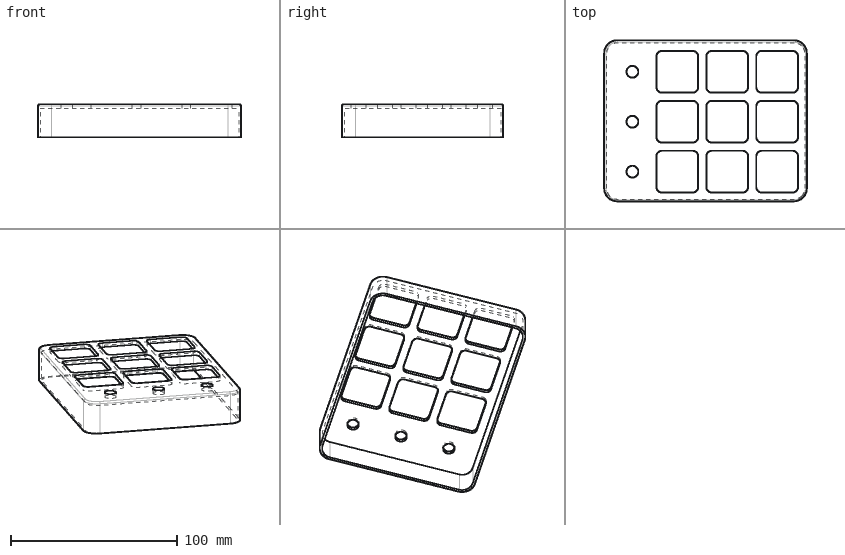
import cadquery as cq

length = 122.2
width = 97.1
height = 20.0
corner_radius = 8.1
top_edge_radius = 1.1
wall = 1.5
cavity_radius = corner_radius - wall
plate_thickness = 2.6

window_count = 3
window_size = 24.9
window_pitch = 30.1
window_corner_radius = 3.0
window_margin = 5.5

hole_diameter = 7.0
hole_edge_distance = 17.1

first_row_y = -width / 2 + window_margin + window_size / 2
row_positions = [first_row_y + i * window_pitch for i in range(window_count)]
last_column_x = length / 2 - window_margin - window_size / 2
column_positions = [last_column_x - i * window_pitch for i in range(window_count)]
hole_x = -length / 2 + hole_edge_distance


def rounded_block(size_x, size_y, size_z, radius):
    """Block standing on the XY plane with rounded vertical edges."""
    block = cq.Workplane("XY").box(size_x, size_y, size_z, centered=(True, True, False))
    return block.edges("|Z").fillet(radius)


def shell():
    """Rounded box with a softened top edge, hollowed out from below."""
    body = rounded_block(length, width, height, corner_radius)
    body = body.faces(">Z").edges().fillet(top_edge_radius)
    cavity = rounded_block(
        length - 2 * wall,
        width - 2 * wall,
        height - plate_thickness,
        cavity_radius,
    )
    return body.cut(cavity)


def windows():
    """Grid of rounded square cutters."""
    centers = [(x, y) for x in column_positions for y in row_positions]
    cutters = cq.Workplane("XY").pushPoints(centers).rect(window_size, window_size).extrude(height)
    return cutters.edges("|Z").fillet(window_corner_radius)


def holes():
    """Column of round cutters aligned with the window rows."""
    centers = [(hole_x, y) for y in row_positions]
    return cq.Workplane("XY").pushPoints(centers).circle(hole_diameter / 2).extrude(height)


result = shell().cut(windows()).cut(holes())